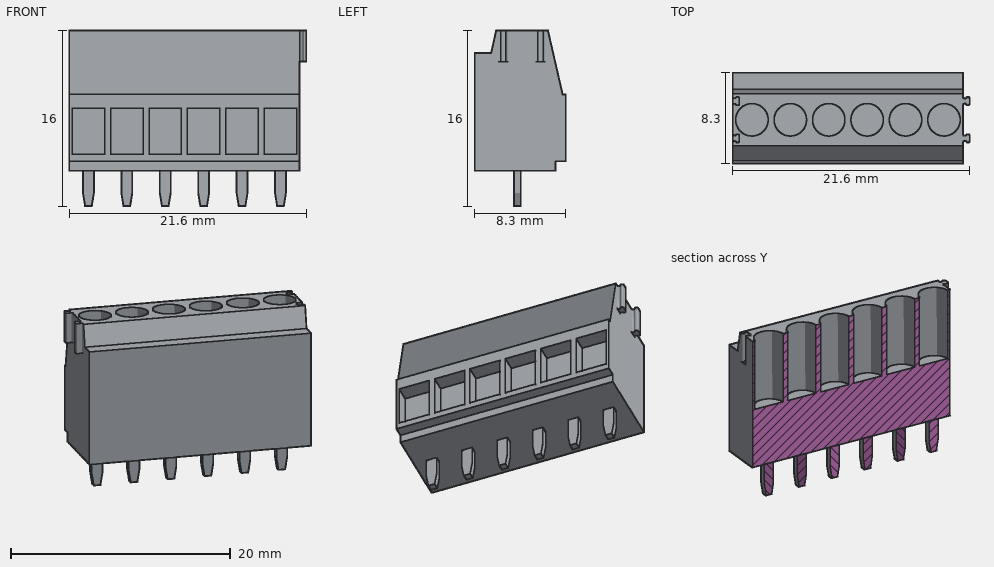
import cadquery as cq
import math

overall_length = 21.6
poles = 6
pitch = 3.5
length = poles * pitch
depth = 8.3
height = 12.8

foot_setback = 0.93
foot_height = 0.86
ledge_height = 6.98
ledge_depth = 0.28
roof_front = 1.62
roof_back_setback = 1.95
roof_back = depth - roof_back_setback
shelf_depth = 1.5
shelf_front = depth - shelf_depth
shelf_height = 10.75

well_diameter = 2.95
well_y = 4.0
well_depth = 6.91

window_width = 2.95
window_bottom = 1.51
window_top = 5.72
window_depth = 1.4

key_y = 2.31
key_spacing = 3.4
key_height = 2.85
key_length = overall_length - length
neck_width = 0.48
key_radius = 0.155
head_x = key_radius * (1 + math.sqrt(3))
head_corner = key_length - head_x

pin_width = 1.02
pin_tip_width = 0.63
pin_thickness = 0.63
pin_length = 3.2
pin_taper_length = 1.19
pin_y = 4.4


def key_prism(x, y):
    """Round-headed key with a filleted root, starting at the given X and pointing toward +X."""
    half_neck = neck_width / 2
    half_head = half_neck + key_radius
    join_x = (key_radius + head_x) / 2
    join_y = half_neck + key_radius / 2
    head_mid_angle = math.radians(30)
    head_arc_x = head_x - key_radius * math.sin(head_mid_angle)
    head_arc_y = half_neck + key_radius * math.cos(head_mid_angle)
    tip_y = half_head - head_corner
    corner_offset = head_corner * math.sqrt(0.5)
    corner_x = head_x + corner_offset
    corner_y = tip_y + corner_offset
    return (
        cq.Workplane("XY", origin=(x, y, height - key_height))
        .moveTo(0, half_head)
        .threePointArc((key_radius, half_neck), (join_x, join_y))
        .threePointArc((head_arc_x, head_arc_y), (head_x, half_head))
        .threePointArc((corner_x, corner_y), (key_length, tip_y))
        .lineTo(key_length, -tip_y)
        .threePointArc((corner_x, -corner_y), (head_x, -half_head))
        .threePointArc((head_arc_x, -head_arc_y), (join_x, -join_y))
        .threePointArc((key_radius, -half_neck), (0, -half_head))
        .close()
        .extrude(key_height)
    )


def make_screw_well(x):
    """Round well that opens in the roof above one pole."""
    return (
        cq.Workplane("XY", origin=(x, well_y, height))
        .circle(well_diameter / 2)
        .extrude(-well_depth)
    )


def make_wire_window(x):
    """Rectangular pocket that opens in the front face below one well."""
    window_height = window_top - window_bottom
    return cq.Workplane("XY", origin=(x, 0, window_bottom)).box(
        window_width, window_depth, window_height, centered=(True, False, False)
    )


def make_housing(pole_centers):
    """Stepped housing with a well and a window per pole, keyways at -X and keys at +X."""
    profile = [
        (foot_setback, 0),
        (depth, 0),
        (depth, shelf_height),
        (shelf_front, shelf_height),
        (roof_back, height),
        (roof_front, height),
        (ledge_depth, ledge_height),
        (0, ledge_height),
        (0, foot_height),
        (foot_setback, foot_height),
    ]
    body = cq.Workplane("YZ").polyline(profile).close().extrude(length)

    for x in pole_centers:
        body = body.cut(make_screw_well(x)).cut(make_wire_window(x))

    for y in (key_y, key_y + key_spacing):
        body = body.cut(key_prism(0, y)).union(key_prism(length, y))
    return body


def make_pin(x):
    """Flat pin with a tapered tip, hanging from the housing base."""
    half_width = pin_width / 2
    half_tip = pin_tip_width / 2
    taper_start = pin_taper_length - pin_length
    outline = [
        (-half_width, 0),
        (-half_width, taper_start),
        (-half_tip, -pin_length),
        (half_tip, -pin_length),
        (half_width, taper_start),
        (half_width, 0),
    ]
    return (
        cq.Workplane("XZ", origin=(x, pin_y, 0))
        .polyline(outline)
        .close()
        .extrude(pin_thickness / 2, both=True)
    )


pole_centers = [(i + 0.5) * pitch for i in range(poles)]
housing = make_housing(pole_centers)
pins = [make_pin(x).val() for x in pole_centers]
result = cq.Compound.makeCompound([housing.val(), *pins])